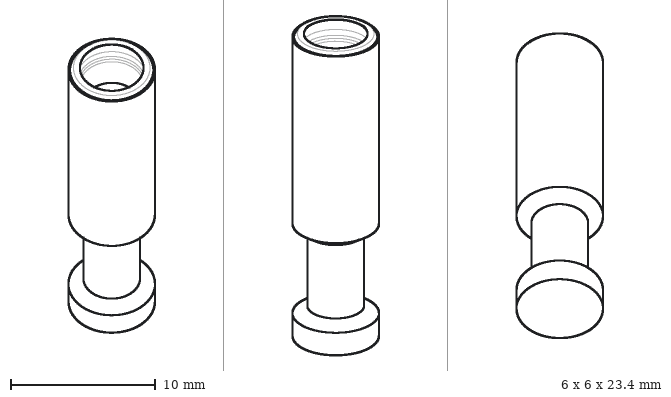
import cadquery as cq
import math

total_height = 23.4
body_radius = 3.0

neck_radius = 1.97
flange_height = 1.75
flange_cone_top = 2.35
neck_top = 8.03
body_bottom = 8.7

rim_radius = 0.23
ledge_width = 0.12

mouth_radius = 2.2
socket_radius = 2.36
lip_height = 0.12
socket_depth = 0.87
pilot_radius = 1.85

upper_slope = 15.5
lower_slope = 21.0
concave_height = 0.42
upper_cone_height = 0.2
lower_cone_height = 0.19
tip_angle = 118.0


def make_outside():
    """Solid pin: flange, neck, body and rounded rim, turned about Z."""
    ledge_z = total_height - rim_radius
    ledge_inner_radius = body_radius - ledge_width
    rim_top_radius = ledge_inner_radius - rim_radius
    diagonal = rim_radius * math.sqrt(0.5)
    return (
        cq.Workplane("XZ")
        .lineTo(body_radius, 0)
        .lineTo(body_radius, flange_height)
        .lineTo(neck_radius, flange_cone_top)
        .lineTo(neck_radius, neck_top)
        .lineTo(body_radius, body_bottom)
        .lineTo(body_radius, ledge_z)
        .lineTo(ledge_inner_radius, ledge_z)
        .threePointArc((rim_top_radius + diagonal, ledge_z + diagonal), (rim_top_radius, total_height))
        .lineTo(0, total_height)
        .close()
        .revolve(360, (0, 0), (0, 1))
    )


def make_bore():
    """Solid that fills the stepped bore, turned about Z."""
    upper_tilt = math.radians(upper_slope)
    lower_tilt = math.radians(lower_slope)

    socket_end = total_height - socket_depth
    concave_radius = concave_height / math.sin(upper_tilt)
    concave_middle = (
        socket_radius - concave_radius * (1 - math.cos(upper_tilt / 2)),
        socket_end - concave_radius * math.sin(upper_tilt / 2),
    )
    upper_r = socket_radius - concave_radius * (1 - math.cos(upper_tilt))
    upper_z = socket_end - concave_height

    middle_r = upper_r - upper_cone_height * math.tan(upper_tilt)
    middle_z = upper_z - upper_cone_height
    lower_r = middle_r - lower_cone_height * math.tan(lower_tilt)
    lower_z = middle_z - lower_cone_height

    convex_radius = (lower_r - pilot_radius) / (1 - math.cos(lower_tilt))
    pilot_z = lower_z - convex_radius * math.sin(lower_tilt)
    convex_middle = (
        pilot_radius + convex_radius * (1 - math.cos(lower_tilt / 2)),
        pilot_z + convex_radius * math.sin(lower_tilt / 2),
    )
    tip_z = pilot_z - pilot_radius / math.tan(math.radians(tip_angle / 2))

    return (
        cq.Workplane("XZ")
        .moveTo(0, total_height)
        .lineTo(mouth_radius, total_height)
        .lineTo(socket_radius, total_height - lip_height)
        .lineTo(socket_radius, socket_end)
        .threePointArc(concave_middle, (upper_r, upper_z))
        .lineTo(middle_r, middle_z)
        .lineTo(lower_r, lower_z)
        .threePointArc(convex_middle, (pilot_radius, pilot_z))
        .lineTo(0, tip_z)
        .close()
        .revolve(360, (0, 0), (0, 1))
    )


result = make_outside().cut(make_bore())